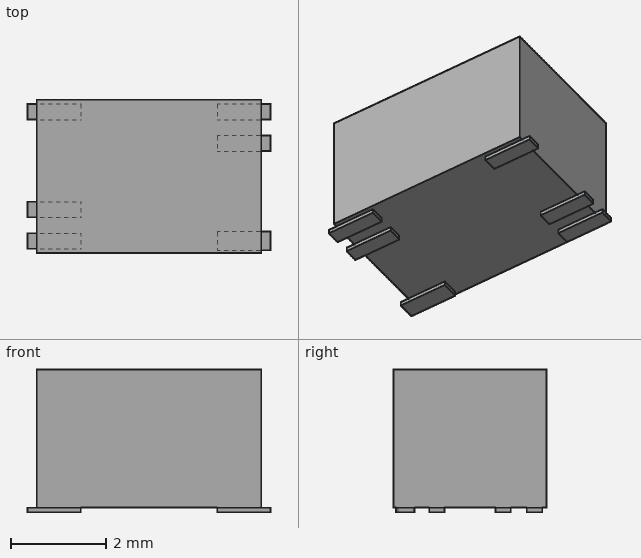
import cadquery as cq

HOUSING_LENGTH = 4.72
HOUSING_WIDTH = 3.22
HOUSING_HEIGHT = 2.9

PAD_THICKNESS = 0.1
PAD_LENGTH = 1.12
PAD_OVERHANG = 0.19
PAD_WIDTH = 0.33
WIDE_PAD_WIDTH = 0.4

PAD_PITCH = 0.66
OUTER_PAD_Y = 1.355
INNER_PAD_Y = OUTER_PAD_Y - PAD_PITCH

PAD_CENTER_X = HOUSING_LENGTH / 2 + PAD_OVERHANG - PAD_LENGTH / 2

PAD_LAYOUT = [
    (-1, OUTER_PAD_Y, PAD_WIDTH),
    (-1, -INNER_PAD_Y, PAD_WIDTH),
    (-1, -OUTER_PAD_Y, PAD_WIDTH),
    (1, OUTER_PAD_Y, PAD_WIDTH),
    (1, INNER_PAD_Y, PAD_WIDTH),
    (1, -OUTER_PAD_Y, WIDE_PAD_WIDTH),
]


def make_housing():
    """Plain block resting on top of the pads."""
    return (
        cq.Workplane("XY")
        .workplane(offset=PAD_THICKNESS)
        .rect(HOUSING_LENGTH, HOUSING_WIDTH)
        .extrude(HOUSING_HEIGHT)
    )


def make_pad(side, center_y, width):
    """Flat pad that sticks out past one end of the housing."""
    return (
        cq.Workplane("XY")
        .center(side * PAD_CENTER_X, center_y)
        .rect(PAD_LENGTH, width)
        .extrude(PAD_THICKNESS)
    )


housing = make_housing()
pads = [make_pad(side, center_y, width) for side, center_y, width in PAD_LAYOUT]

result = cq.Compound.makeCompound([housing.val(), *[pad.val() for pad in pads]])